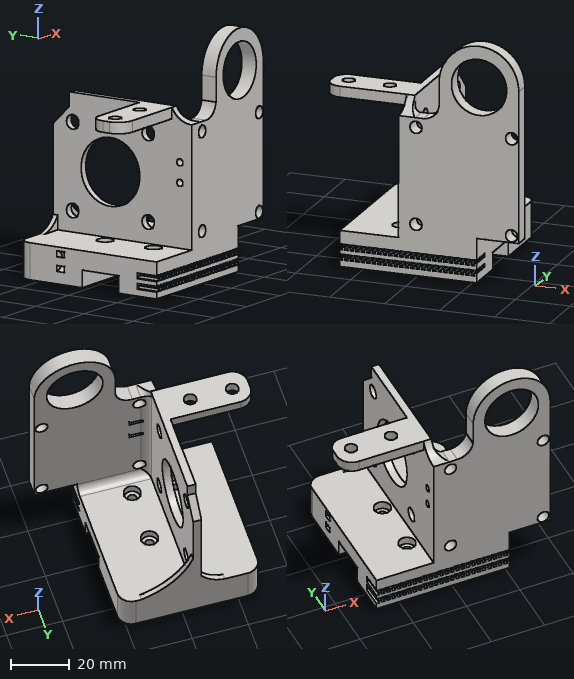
import cadquery as cq
import math


base_width = 50.0
base_depth = 57.0
base_height = 13.0
base_corner_radius = 5.0
notch_front = 15.5
notch_back = 30.5
notch_height = 6.2

wall_left = 21.5
wall_thickness = 3.0
wall_right = wall_left + wall_thickness
wall_top = 61.9
wall_step_height = 56.8
wall_step = 6.6
motor_center_y = 33.4
motor_center_z = 36.0
motor_bore = 24.0
motor_hole = 5.0
motor_hole_pitch = 31.0

plate_thickness = 6.0
plate_right = 65.3
plate_overhang_bottom = 16.0
ring_radius = 14.5
ring_bore = 20.0
ring_center_x = plate_right - ring_radius
ring_left = ring_center_x - ring_radius
ring_center_z = 85.15 - ring_radius
ring_bore_z = 70.3
plate_hole = 4.35
plate_hole_pitch = 34.8
plate_hole_x = 27.85
plate_hole_z = 18.5
inner_fillet = 3.0

valley_floor = 56.8
valley_left_radius = 3.0
valley_right_radius = 6.0

arm_left = -8.5
arm_front = 8.1
arm_back = 21.5
arm_thickness = 4.0
arm_front_radius = 5.6
arm_back_radius = 5.0
arm_hole = 4.35
arm_hole_xs = (-2.4, 12.6)
arm_hole_y = 15.3

gusset_thickness = 2.05
left_gusset_length = 8.3
left_gusset_rise = 5.2
left_gusset_radius = 11.5
right_gusset_length = 18.5
right_gusset_rise = 16.0
right_gusset_radius = 26.0

base_hole = 3.1
base_counterbore = 6.0
base_counterbore_depth = 3.0
base_hole_xs = (17.5, 32.5)
base_hole_ys = (12.95, 32.9)

pilot_hole = 2.5
pilot_depth = 10.0
pilot_y = 4.85
pilot_zs = (35.9, 43.1)

belt_slot_depth = 8.0
belt_slot_tops = (4.5, 8.2)
belt_gap = 1.0
belt_groove_depth = 1.0
belt_pitch = 2.0
belt_groove_width = 1.1
belt_groove_count = 25

tie_front = 37.8
tie_width = 3.2
tie_center_z = 8.0
tie_outer_radius = 3.6
tie_inner_radius = 1.5


def box(x0, x1, y0, y1, z0, z1):
    """Axis-aligned box between two corners."""
    return cq.Workplane("XY").box(x1 - x0, y1 - y0, z1 - z0, centered=False).translate((x0, y0, z0))


def cylinder_x(diameter, x0, x1, y, z):
    """Cylinder along X from x0 to x1."""
    return cq.Workplane("YZ", origin=(x0, y, z)).circle(diameter / 2).extrude(x1 - x0)


def cylinder_y(diameter, x, y0, y1, z):
    """Cylinder along Y from y0 to y1."""
    return cq.Workplane("XZ", origin=(x, y0, z)).circle(diameter / 2).extrude(y0 - y1)


def cylinder_z(diameter, x, y, z0, z1):
    """Cylinder along Z from z0 to z1."""
    return cq.Workplane("XY", origin=(x, y, z0)).circle(diameter / 2).extrude(z1 - z0)


def make_base():
    block = box(0, base_width, 0, base_depth, 0, base_height)
    block = block.edges("|Z and >Y").fillet(base_corner_radius)
    return block.cut(box(0, base_width, notch_front, notch_back, 0, notch_height))


def make_wall():
    outline = [
        (0, 0),
        (base_depth, 0),
        (base_depth, wall_step_height - wall_step),
        (base_depth - wall_step, wall_step_height),
        (base_depth - wall_step, wall_top),
        (0, wall_top),
    ]
    wall = cq.Workplane("YZ", origin=(wall_left, 0, 0)).polyline(outline).close().extrude(wall_thickness)
    return wall.intersect(box(wall_left, wall_right, 0, base_depth, notch_height, wall_top))


def make_front_plate():
    plate = box(wall_left, base_width, 0, plate_thickness, base_height, wall_top)
    plate = plate.union(box(ring_left, plate_right, 0, plate_thickness, plate_overhang_bottom, ring_center_z))
    plate = plate.union(cylinder_y(2 * ring_radius, ring_center_x, 0, plate_thickness, ring_center_z))
    return plate


def make_arm():
    arm = box(arm_left, wall_right, arm_front, arm_back, wall_top - arm_thickness, wall_top)
    arm = arm.edges("|Z and <X and <Y").fillet(arm_front_radius)
    arm = arm.edges("|Z and <X and >Y").fillet(arm_back_radius)
    for x in arm_hole_xs:
        arm = arm.cut(cylinder_z(arm_hole, x, arm_hole_y, 0, wall_top))
    return arm


def make_gusset(wall_x, length, rise, radius):
    """Web with a concave edge from the base top up to the wall; a negative length points to -X."""
    bend = math.copysign(radius, length)
    return (
        cq.Workplane("XZ", origin=(0, base_depth, 0))
        .moveTo(wall_x, base_height)
        .lineTo(wall_x + length, base_height)
        .radiusArc((wall_x, base_height + rise), bend)
        .close()
        .extrude(gusset_thickness)
    )


def make_inner_fillets():
    """Concave fillets behind the plate: along the base top and along the wall."""
    r = inner_fillet
    back = plate_thickness
    along_base = box(wall_right, base_width, back, back + r, base_height, base_height + r)
    along_base = along_base.cut(cylinder_x(2 * r, wall_right, base_width, back + r, base_height + r))
    along_wall = box(wall_right, wall_right + r, back, back + r, base_height, wall_top)
    along_wall = along_wall.cut(cylinder_z(2 * r, wall_right + r, back + r, base_height, wall_top))
    return along_base.union(along_wall)


def make_valley():
    """Cutter for the round-cornered dip in the plate between the wall and the ring."""
    top = valley_floor + valley_right_radius
    return (
        cq.Workplane("XZ")
        .moveTo(wall_right, top)
        .lineTo(wall_right, valley_floor + valley_left_radius)
        .radiusArc((wall_right + valley_left_radius, valley_floor), -valley_left_radius)
        .lineTo(ring_left - valley_right_radius, valley_floor)
        .radiusArc((ring_left, top), -valley_right_radius)
        .close()
        .extrude(-(plate_thickness + inner_fillet))
    )


def make_wall_scoop():
    """Cylinder that rounds the front top corner of the wall down to the valley floor."""
    drop = wall_top - valley_floor
    radius = (arm_front**2 + drop**2) / (2 * drop)
    return cylinder_x(2 * radius, wall_left, wall_right + valley_left_radius, 0, valley_floor + radius)


def make_motor_holes():
    holes = cylinder_x(motor_bore, wall_left, wall_right, motor_center_y, motor_center_z)
    for side_y in (-1, 1):
        for side_z in (-1, 1):
            y = motor_center_y + side_y * motor_hole_pitch / 2
            z = motor_center_z + side_z * motor_hole_pitch / 2
            holes = holes.union(cylinder_x(motor_hole, wall_left, wall_right, y, z))
    return holes


def make_plate_holes():
    reach = plate_thickness + inner_fillet
    holes = cylinder_y(ring_bore, ring_center_x, 0, plate_thickness, ring_bore_z)
    for x in (plate_hole_x, plate_hole_x + plate_hole_pitch):
        for z in (plate_hole_z, plate_hole_z + plate_hole_pitch):
            holes = holes.union(cylinder_y(plate_hole, x, 0, reach, z))
    return holes


def make_base_holes():
    holes = cq.Workplane("XY")
    for x in base_hole_xs:
        for y in base_hole_ys:
            holes = holes.add(cylinder_z(base_hole, x, y, 0, base_height))
            floor = base_height - base_counterbore_depth
            holes = holes.add(cylinder_z(base_counterbore, x, y, floor, base_height))
    return holes.combine()


def make_pilot_holes():
    holes = cq.Workplane("XY")
    for z in pilot_zs:
        holes = holes.add(cylinder_x(pilot_hole, wall_left, wall_left + pilot_depth, pilot_y, z))
    return holes


def make_belt_slot(top):
    """Slot through the full width, with square tooth grooves in its floor."""
    shelf = top - belt_gap
    slot = box(0, base_width, 0, belt_slot_depth, shelf, top)
    for i in range(belt_groove_count):
        x = i * belt_pitch
        slot = slot.union(box(x, x + belt_groove_width, 0, belt_slot_depth, shelf - belt_groove_depth, top))
    return slot


def make_tie_channel():
    """Half-ring channel that enters and leaves through the left face."""
    ring = cylinder_y(2 * tie_outer_radius, 0, tie_front, tie_front + tie_width, tie_center_z)
    return ring.cut(cylinder_y(2 * tie_inner_radius, 0, tie_front, tie_front + tie_width, tie_center_z))


body = make_base()
body = body.union(make_wall())
body = body.union(make_front_plate())
body = body.union(make_inner_fillets())
body = body.union(make_gusset(wall_left, -left_gusset_length, left_gusset_rise, left_gusset_radius))
body = body.union(make_gusset(wall_right, right_gusset_length, right_gusset_rise, right_gusset_radius))
body = body.cut(make_valley())
body = body.cut(make_wall_scoop())
body = body.union(make_arm())
body = body.cut(make_motor_holes())
body = body.cut(make_plate_holes())
body = body.cut(make_base_holes())
body = body.cut(make_pilot_holes())
for slot_top in belt_slot_tops:
    body = body.cut(make_belt_slot(slot_top))
result = body.cut(make_tie_channel())